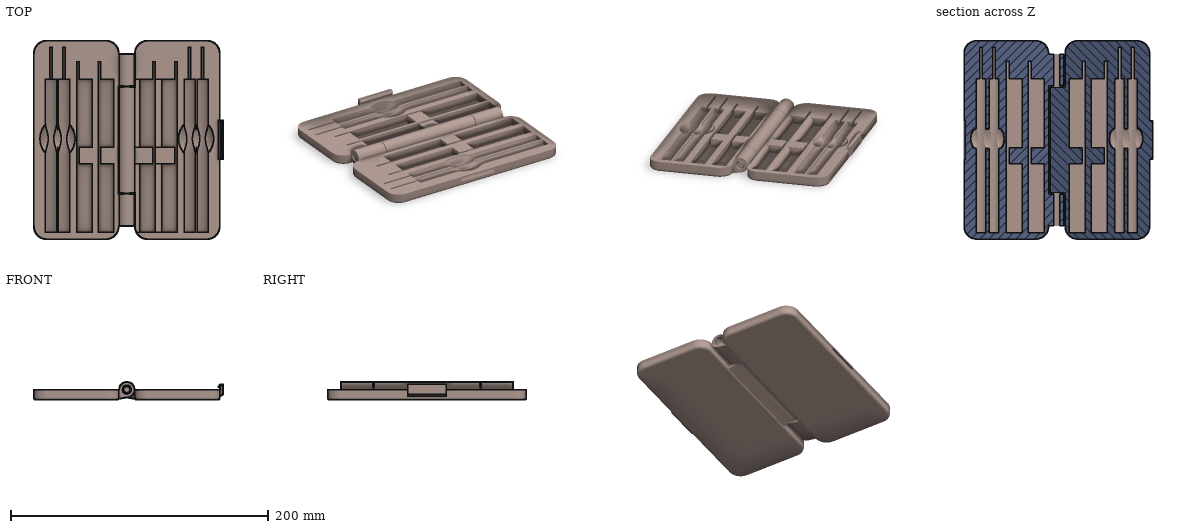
import cadquery as cq
import math


case_length = 154.5
tray_height = 8.0
tray_inner_x = 6.2
tray_outer_x = 72.3
corner_radius = 10.2
bottom_fillet = 2.0

hinge_z = tray_height
hinge_radius = 6.0
hinge_half_length = 66.9
clearance = 0.6
center_knuckle_half_length = 41.3
web_foot_z = 0.8
pin_radius = 2.5
bore_radius = 3.4
pin_recess = 1.0

recess_end_y = 71.8
compartment_top_y = 47.3
recess_bottom_y = -recess_end_y

pocket_inner_walls = (10.0, 27.0)
pocket_width = 12.0
pocket_depth = 6.5
pocket_slot_width = 2.0
pocket_slot_top_y = 60.9
tab_top_y = -5.9
tab_bottom_y = -18.5
lip_radius = 3.7

channel_centers = (48.8, 58.9)
channel_radius = 4.3
blade_slot_width = 1.9
blade_slot_depth = 5.3
scoop_center_y = 1.0
scoop_half_length = 11.1
scoop_radius = 4.3

latch_half_width = 15.1
latch_outer_x = 75.0
latch_foot_z = 2.8
latch_outer_foot_z = 4.3
latch_top_z = 12.2
hook_tip_x = 71.2
hook_under_z = 9.9
hook_tip_height = 0.5
notch_width = 1.2
notch_depth = 1.2
catch_top_z = 6.6
catch_bottom_z = 3.7
catch_depth = 1.4


def block(x_min, x_max, y_min, y_max, z_min, z_max):
    """Axis-aligned box given by its limits."""
    size = (x_max - x_min, y_max - y_min, z_max - z_min)
    return cq.Workplane("XY").box(*size, centered=False).translate((x_min, y_min, z_min))


def lengthwise(x, z, y_min):
    """XZ sketch plane at y_min, centred on (x, z); extrude with a negative length to grow in +Y."""
    return cq.Workplane("XZ", origin=(x, y_min, z))


def rod(radius, x, z, y_min, y_max):
    """Cylinder lying along Y."""
    return lengthwise(x, z, y_min).circle(radius).extrude(y_min - y_max)


def prism(points, y_min, y_max):
    """Polygon in XZ carried along Y."""
    return lengthwise(0, 0, y_min).polyline(points).close().extrude(y_min - y_max)


def tray_blank():
    """Rounded slab on the +X side."""
    half = case_length / 2
    slab = block(tray_inner_x, tray_outer_x, -half, half, 0, tray_height)
    return slab.edges("|Z").fillet(corner_radius).faces("<Z").edges().fillet(bottom_fillet)


def pocket_stretch(inner_wall, y_min, y_max, lipped):
    """Stretch of a flat pocket; a lipped one has its inner wall rounded over at the top."""
    outer_wall = inner_wall + pocket_width
    floor_z = tray_height - pocket_depth
    pocket = block(inner_wall, outer_wall, y_min, y_max, floor_z, tray_height)
    if lipped:
        lip_x = inner_wall - lip_radius
        lip_z = tray_height - lip_radius
        corner = block(lip_x, inner_wall, y_min, y_max, lip_z, tray_height)
        pocket = pocket.union(corner.cut(rod(lip_radius, lip_x, lip_z, y_min, y_max)))
    return pocket


def pocket_cutter(inner_wall, lipped):
    """Pocket interrupted by a finger tab, with a narrow slot running past the tab."""
    outer_wall = inner_wall + pocket_width
    floor_z = tray_height - pocket_depth
    slot_x = outer_wall - pocket_slot_width
    cutter = block(slot_x, outer_wall, recess_bottom_y, pocket_slot_top_y, floor_z, tray_height)
    for y_min, y_max in ((recess_bottom_y, tab_bottom_y), (tab_top_y, compartment_top_y)):
        cutter = cutter.union(pocket_stretch(inner_wall, y_min, y_max, lipped))
    return cutter


def scoop_cutter(x):
    """Spindle with an arc profile, turned about a line along Y at the tray top."""
    return (
        cq.Workplane("XY", origin=(x, scoop_center_y, tray_height))
        .moveTo(0, -scoop_half_length)
        .threePointArc((scoop_radius, 0), (0, scoop_half_length))
        .close()
        .revolve(360, (0, 0, 0), (0, 1, 0))
    )


def cut_recesses(tray, lipped):
    """Cut the pockets, channels, blade slots and finger scoops."""
    for inner_wall in pocket_inner_walls:
        tray = tray.cut(pocket_cutter(inner_wall, lipped))
    for x in channel_centers:
        half_slot = blade_slot_width / 2
        slot_floor = tray_height - blade_slot_depth
        tray = tray.cut(rod(channel_radius, x, tray_height, recess_bottom_y, compartment_top_y))
        tray = tray.cut(
            block(x - half_slot, x + half_slot, compartment_top_y, recess_end_y, slot_floor, tray_height)
        )
        for edge_x in (x - channel_radius, x + channel_radius):
            tray = tray.cut(scoop_cutter(edge_x))
    return tray


def knuckle(y_min, y_max):
    """Hinge barrel with a web to the +X tray, its underside tangent to the barrel."""
    foot_drop = hinge_z - web_foot_z
    tangent_angle = 2 * math.atan2(-foot_drop, hinge_radius)
    tangent_x = hinge_radius * math.cos(tangent_angle)
    tangent_z = hinge_z + hinge_radius * math.sin(tangent_angle)
    root_x = tray_inner_x + bottom_fillet
    web = prism(
        [
            (0, hinge_z),
            (tangent_x, tangent_z),
            (hinge_radius, web_foot_z),
            (root_x, web_foot_z),
            (root_x, hinge_z),
        ],
        y_min,
        y_max,
    )
    return rod(hinge_radius, 0, hinge_z, y_min, y_max).union(web)


def latch():
    """Spring arm on the outer side with an inward hook and a V notch in its top."""
    notch_x = latch_outer_x - notch_width
    return prism(
        [
            (tray_outer_x, latch_foot_z),
            (latch_outer_x, latch_outer_foot_z),
            (latch_outer_x, latch_top_z),
            (notch_x, latch_top_z),
            (notch_x, latch_top_z - notch_depth),
            (notch_x - notch_depth, latch_top_z),
            (hook_tip_x, hook_under_z + hook_tip_height),
            (hook_tip_x, hook_under_z),
            (tray_outer_x, hook_under_z),
        ],
        -latch_half_width,
        latch_half_width,
    )


def build_left_tray():
    """Tray with the two bored end knuckles and the catch groove, built at +X and mirrored."""
    inner_y = center_knuckle_half_length + clearance
    tray = tray_blank()
    tray = tray.cut(rod(hinge_radius + clearance, 0, hinge_z, -inner_y, inner_y))
    for y_min, y_max in ((-hinge_half_length, -inner_y), (inner_y, hinge_half_length)):
        tray = tray.union(knuckle(y_min, y_max))
    tray = tray.cut(rod(bore_radius, 0, hinge_z, -hinge_half_length, hinge_half_length))
    tray = cut_recesses(tray, lipped=False)
    catch = prism(
        [
            (tray_outer_x, catch_bottom_z),
            (tray_outer_x, catch_top_z),
            (tray_outer_x - catch_depth, catch_top_z),
        ],
        -latch_half_width,
        latch_half_width,
    )
    return tray.cut(catch).mirror("YZ")


def build_right_tray():
    """Tray with the centre knuckle, its hinge pins and the latch."""
    pin_end_y = hinge_half_length - pin_recess
    tray = tray_blank().union(knuckle(-center_knuckle_half_length, center_knuckle_half_length))
    tray = cut_recesses(tray, lipped=True)
    tray = tray.union(rod(pin_radius, 0, hinge_z, -pin_end_y, pin_end_y))
    return tray.union(latch())


left_tray = build_left_tray()
right_tray = build_right_tray()

result = cq.Compound.makeCompound([left_tray.val(), right_tray.val()])